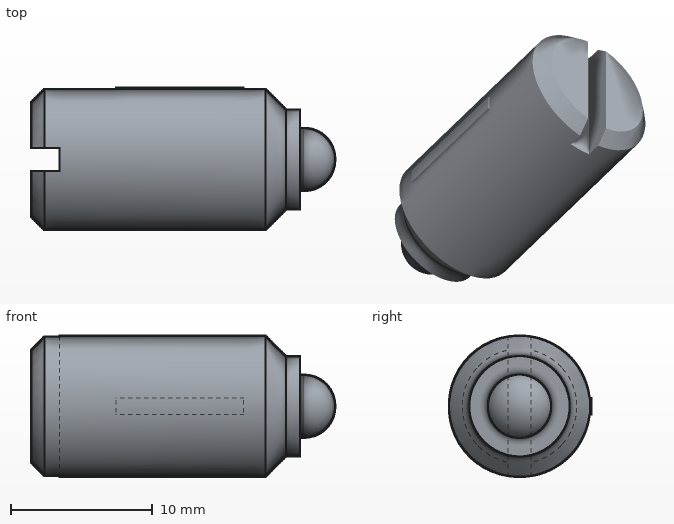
import cadquery as cq
import math

body_end = 18.0
sleeve_end = 19.0
pin_tip = 21.5

body_diameter = 10.0
sleeve_diameter = 7.1
pin_diameter = 4.48

slotted_end_chamfer = 0.95

slot_width = 1.6
slot_depth = 2.0

strip_start = 6.0
strip_length = 9.0
strip_width = 1.15
strip_height = 0.1
strip_embedment = 1.0

body_radius = body_diameter / 2
sleeve_radius = sleeve_diameter / 2
pin_radius = pin_diameter / 2

cone_start = body_end - (body_radius - sleeve_radius)
dome_center = pin_tip - pin_radius


def make_turned_body():
    """Chamfered body, sleeve and round-nosed pin revolved about the X axis."""
    dome_mid_offset = pin_radius * math.cos(math.radians(45))
    profile = (
        cq.Workplane("XY")
        .moveTo(0, 0)
        .lineTo(0, body_radius - slotted_end_chamfer)
        .lineTo(slotted_end_chamfer, body_radius)
        .lineTo(cone_start, body_radius)
        .lineTo(body_end, sleeve_radius)
        .lineTo(sleeve_end, sleeve_radius)
        .lineTo(sleeve_end, pin_radius)
        .lineTo(dome_center, pin_radius)
        .threePointArc((dome_center + dome_mid_offset, dome_mid_offset), (pin_tip, 0))
        .close()
    )
    return profile.revolve(360, (0, 0, 0), (1, 0, 0))


def make_screwdriver_slot():
    """Cutter open at the end face and at both ends of the slot."""
    return cq.Workplane("XY").box(
        slot_depth, slot_width, body_diameter, centered=(False, True, True)
    )


def make_locking_strip():
    """Narrow strip sunk into the body and standing slightly proud of it."""
    strip = cq.Workplane("XY").box(
        strip_length, strip_embedment + strip_height, strip_width, centered=(False, False, True)
    )
    return strip.translate((strip_start, body_radius - strip_embedment, 0))


result = make_turned_body().cut(make_screwdriver_slot()).union(make_locking_strip())